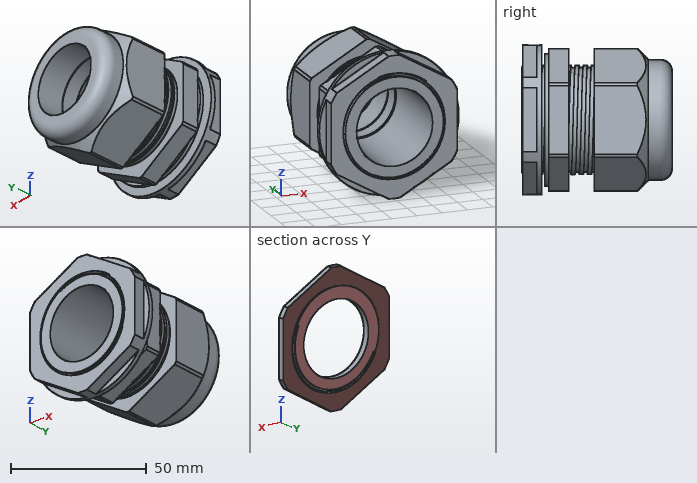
import cadquery as cq
import math


lock_nut_start = 0.35
lock_nut_hex_length = 5.15
lock_nut_flange_thickness = 1.95
washer_start = 8.45
washer_thickness = 1.5
body_hex_start = washer_start + washer_thickness
body_hex_length = 7.45
cap_start = 26.7
cap_shoulder = 46.7
overall_length = 55.5
body_length = 43.3

hex_across_flats = 46.2
hex_corner_radius = 26.3
lock_nut_across_flats = 49.95
lock_nut_radius = 27.65
washer_radius = 24.4
dome_radius = 22.25
dome_fillet = 4.45
body_bore_radius = 15.05
seal_bore_radius = 14.55
cap_bore_radius = 14.25

thread_radius = 20.15
thread_depth = 0.85
thread_pitch = 3.0
groove_width = thread_pitch / 2
groove_start = -2.8
thread_turns = 12
thread_end_chamfer = 0.65
cutter_overshoot = 0.3

nut_groove_depth = 0.55
nut_groove_width = 1.9
nut_groove_start_angle = 52.0
nut_groove_turns = 2

seal_radius = 17.6
seal_length = 6.65


def cylinder(radius, start, length):
    return cq.Workplane("XY").workplane(offset=start).circle(radius).extrude(length)


def hexagon(across_flats, start, length):
    """Hexagonal prism with flats facing +X and -X."""
    across_corners = across_flats / math.cos(math.pi / 6)
    return (
        cq.Workplane("XY")
        .workplane(offset=start)
        .transformed(rotate=(0, 0, 30))
        .polygon(6, across_corners)
        .extrude(length)
    )


def rounded_hexagon(across_flats, corner_radius, start, length):
    return hexagon(across_flats, start, length).intersect(cylinder(corner_radius, start, length))


def turn_onto_y(body):
    return body.rotate((0, 0, 0), (1, 0, 0), -90)


def left_handed_helix(radius, start, turns):
    height = thread_pitch * turns
    center = cq.Vector(0, 0, start)
    return cq.Workplane(
        cq.Wire.makeHelix(thread_pitch, height, radius, center=center, lefthand=True)
    )


def make_thread_groove():
    """Square helical cutter that reaches past the thread crest."""
    root_radius = thread_radius - thread_depth
    cutter_depth = thread_depth + cutter_overshoot
    return (
        cq.Workplane("XZ")
        .center(root_radius + cutter_depth / 2, groove_start)
        .rect(cutter_depth, groove_width)
        .sweep(left_handed_helix(root_radius, groove_start, thread_turns), isFrenet=True)
    )


def make_nut_groove():
    """V-shaped helical cutter, pointing outwards from just inside the bore."""
    inner_radius = thread_radius - cutter_overshoot
    flank_slope = nut_groove_width / 2 / nut_groove_depth
    half_width = flank_slope * (nut_groove_depth + cutter_overshoot)
    groove = (
        cq.Workplane("XZ")
        .moveTo(inner_radius, lock_nut_start - half_width)
        .lineTo(thread_radius + nut_groove_depth, lock_nut_start)
        .lineTo(inner_radius, lock_nut_start + half_width)
        .close()
        .sweep(left_handed_helix(thread_radius, lock_nut_start, nut_groove_turns), isFrenet=True)
    )
    return groove.rotate((0, 0, 0), (0, 0, 1), -nut_groove_start_angle)


def make_body():
    sleeve = cylinder(thread_radius, 0, body_length).faces("<Z").chamfer(thread_end_chamfer)
    threaded = sleeve.cut(make_thread_groove())
    body = threaded.union(
        rounded_hexagon(hex_across_flats, hex_corner_radius, body_hex_start, body_hex_length)
    )
    body = body.cut(cylinder(body_bore_radius, 0, body_length))
    return body.cut(cylinder(seal_radius, body_length - seal_length, seal_length))


def make_washer():
    washer = cylinder(washer_radius, washer_start, washer_thickness)
    return washer.cut(cylinder(thread_radius, washer_start, washer_thickness))


def make_lock_nut():
    flange_start = lock_nut_start + lock_nut_hex_length
    nut = rounded_hexagon(
        lock_nut_across_flats, lock_nut_radius, lock_nut_start, lock_nut_hex_length
    )
    nut = nut.union(cylinder(lock_nut_radius, flange_start, lock_nut_flange_thickness))
    nut_length = lock_nut_hex_length + lock_nut_flange_thickness
    nut = nut.cut(cylinder(thread_radius, lock_nut_start, nut_length))
    return nut.cut(make_nut_groove())


def make_cap_nut():
    cone_length = hex_corner_radius - dome_radius
    turned_blank = cylinder(hex_corner_radius, cap_start, cap_shoulder - cap_start)
    turned_blank = turned_blank.faces(">Z").chamfer(cone_length)
    grip = hexagon(hex_across_flats, cap_start, cap_shoulder - cap_start).intersect(turned_blank)

    dome = cylinder(dome_radius, cap_shoulder, overall_length - cap_shoulder)
    dome = dome.faces(">Z").edges().fillet(dome_fillet)

    cap = grip.union(dome)
    cap = cap.cut(cylinder(thread_radius, cap_start, body_length - cap_start))
    return cap.cut(cylinder(cap_bore_radius, cap_start, overall_length - cap_start))


def make_seal():
    seal_start = body_length - seal_length
    seal = cylinder(seal_radius, seal_start, seal_length)
    return seal.cut(cylinder(seal_bore_radius, seal_start, seal_length))


threaded_body = turn_onto_y(make_body())
washer = turn_onto_y(make_washer())
lock_nut = turn_onto_y(make_lock_nut())
cap_nut = turn_onto_y(make_cap_nut())
seal = turn_onto_y(make_seal())

result = cq.Compound.makeCompound(
    [threaded_body.val(), washer.val(), lock_nut.val(), cap_nut.val(), seal.val()]
)